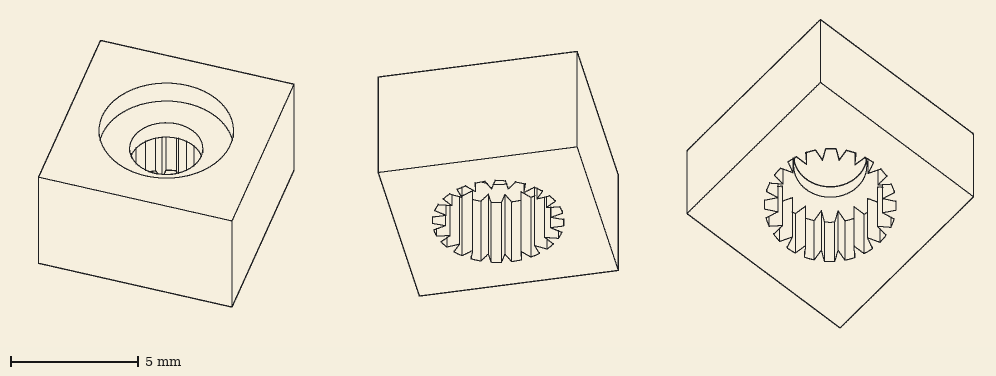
import math

import cadquery as cq

side = 8.0
height = 4.8

hole_diameter = 2.88
counterbore_diameter = 5.3
counterbore_depth = 1.0

web_thickness = 0.8
socket_depth = height - counterbore_depth - web_thickness
tooth_count = 20
tooth_tip_radius = 2.09
tooth_root_radius = 2.59
pitch = 360 / tooth_count
tooth_base_angle = pitch / 2


def polar_point(radius, degrees):
    """XY point at the given radius and angle about the bore axis."""
    angle = math.radians(degrees)
    return (radius * math.cos(angle), radius * math.sin(angle))


def toothed_socket():
    """Solid filling the socket: root circle notched by pointed teeth."""
    outline = cq.Workplane("XY").moveTo(*polar_point(tooth_root_radius, 0))
    for tooth in range(tooth_count):
        start = tooth * pitch
        tooth_end = start + tooth_base_angle
        next_start = start + pitch
        outline = (
            outline.lineTo(*polar_point(tooth_tip_radius, start + tooth_base_angle / 2))
            .lineTo(*polar_point(tooth_root_radius, tooth_end))
            .threePointArc(
                polar_point(tooth_root_radius, (tooth_end + next_start) / 2),
                polar_point(tooth_root_radius, next_start),
            )
        )
    return outline.close().extrude(socket_depth)


block = cq.Workplane("XY").box(side, side, height, centered=(True, True, False))
bored_block = block.faces(">Z").workplane().cboreHole(
    hole_diameter, counterbore_diameter, counterbore_depth
)

result = bored_block.cut(toothed_socket())